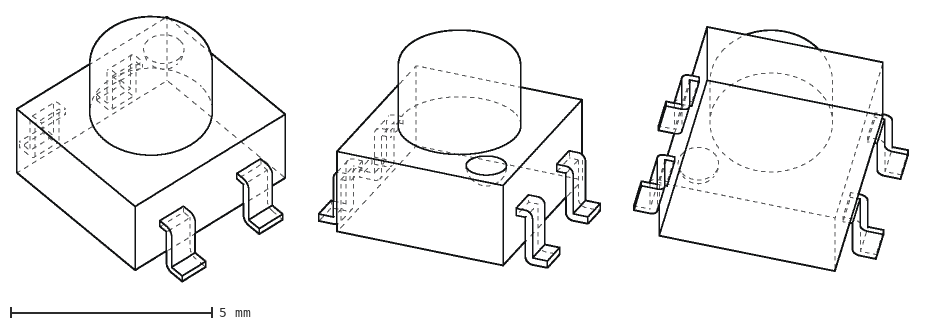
import cadquery as cq

overall_span = 6.2
housing_length = 4.5
housing_width = 4.93
housing_height = 2.255
standoff = 0.285

button_diameter = 3.05
button_height = 1.995
button_edge_radius = 0.3

dimple_radius = 0.5
dimple_inset = 0.8

lead_thickness = 0.2
lead_width = 0.775
lead_height = 1.5
lead_pitch = 2.53
foot_projection = 0.4

housing_top = standoff + housing_height


def make_housing():
    """Box with a round button on top and a hemispherical corner dimple."""
    block = cq.Workplane("XY").workplane(offset=standoff).box(
        housing_length, housing_width, housing_height, centered=(True, True, False)
    )
    button = (
        cq.Workplane("XY")
        .workplane(offset=housing_top)
        .circle(button_diameter / 2)
        .extrude(button_height)
        .faces(">Z")
        .edges()
        .fillet(button_edge_radius)
    )
    dimple = cq.Workplane("XY").sphere(dimple_radius).translate(
        (dimple_inset - housing_length / 2, housing_width / 2 - dimple_inset, housing_top)
    )
    return block.union(button).cut(dimple).solids()


def make_lead(side, y_center):
    """Z-bent lead against the housing face on the given side (-1 or +1 along X)."""
    wall_x = side * housing_length / 2
    tip_x = side * overall_span / 2
    leg_outer_x = tip_x - side * foot_projection
    leg_inner_x = leg_outer_x - side * lead_thickness
    shoulder_z = lead_height - lead_thickness

    profile = (
        cq.Workplane("XZ", origin=(0, y_center, 0))
        .moveTo(wall_x, lead_height)
        .lineTo(leg_inner_x, lead_height)
        .radiusArc((leg_outer_x, shoulder_z), side * lead_thickness)
        .lineTo(leg_outer_x, lead_thickness)
        .lineTo(tip_x, lead_thickness)
        .lineTo(tip_x, 0)
        .lineTo(leg_outer_x, 0)
        .radiusArc((leg_inner_x, lead_thickness), side * lead_thickness)
        .lineTo(leg_inner_x, shoulder_z)
        .lineTo(wall_x, shoulder_z)
        .close()
    )
    return profile.extrude(lead_width / 2, both=True).solids()


housing = make_housing()
leads = [
    make_lead(side, row * lead_pitch / 2)
    for side in (-1, 1)
    for row in (-1, 1)
]

result = cq.Compound.makeCompound([housing.val(), *[lead.val() for lead in leads]])